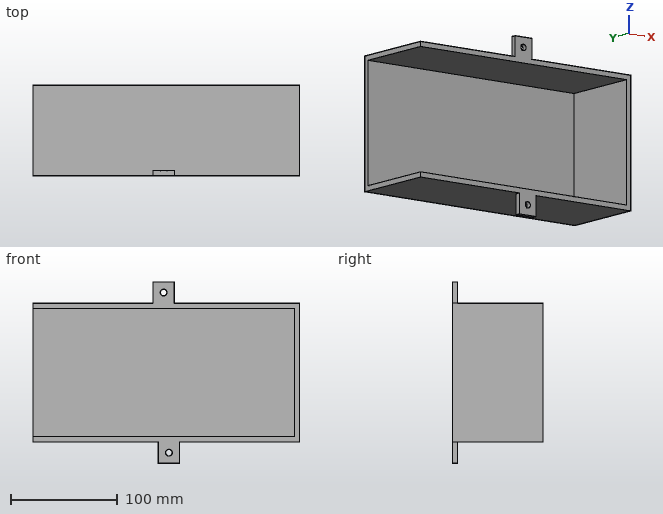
import cadquery as cq

length = 250.0
depth = 85.0
height = 130.0
wall = 5.0

tab_size = 20.0
tab_hole_diameter = 6.0
tab_offset = 2.5


def open_box():
    """Floor, roof, back wall and right end wall, with one corner at the origin."""
    outer = cq.Workplane("XY").box(length, depth, height, centered=False)
    cavity = cq.Workplane("XY").box(
        length - wall, depth - wall, height - 2 * wall, centered=False
    ).translate((0, 0, wall))
    return outer.cut(cavity)


def mounting_tab(center_x, bottom_z):
    """Tab of wall thickness with a through hole along Y at its centre."""
    return (
        cq.Workplane("XZ", origin=(center_x, 0, bottom_z + tab_size / 2))
        .rect(tab_size, tab_size)
        .circle(tab_hole_diameter / 2)
        .extrude(-wall)
    )


top_tab = mounting_tab(length / 2 - tab_offset, height)
bottom_tab = mounting_tab(length / 2 + tab_offset, -tab_size)

result = open_box().union(top_tab).union(bottom_tab)